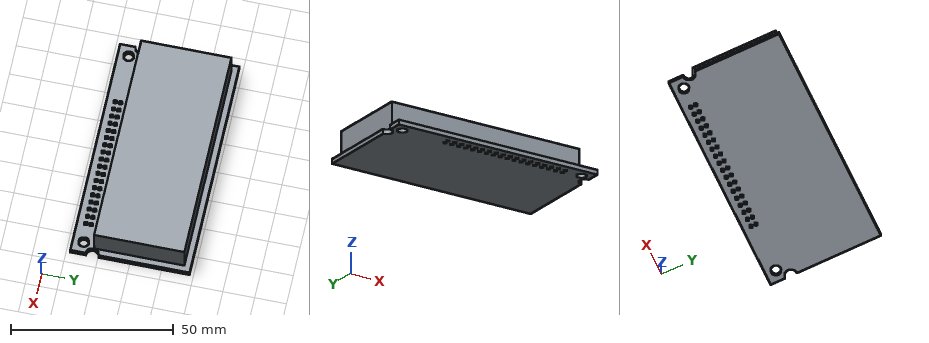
import cadquery as cq

board_length = 73.0
board_width = 37.5
board_thickness = 1.6

overall_height = 10.6
block_margin = 2.05
block_front = 7.1
block_length = board_length - 2 * block_margin
block_width = board_width - block_margin - block_front
block_height = overall_height - board_thickness

mount_diameter = 3.2
mount_inset_x = 3.6
mount_inset_y = 3.5

notch_diameter = 4.0
notch_inset_y = 6.9

pin_hole_diameter = 1.0
pin_columns = 18
pin_rows = 2
pin_span = 43.15
pin_row_pitch = 1.7
pin_first_x = 19.85 - board_length / 2
pin_first_y = 2.8
pin_pitch = pin_span / (pin_columns - 1)


def cut_holes(board, points, diameter):
    """Cut round through holes at the given XY points of the board."""
    drills = (
        cq.Workplane("XY")
        .pushPoints(points)
        .circle(diameter / 2)
        .extrude(board_thickness)
    )
    return board.cut(drills)


def make_board():
    board = cq.Workplane("XY").box(
        board_length, board_width, board_thickness, centered=(True, False, False)
    )
    mount_x = board_length / 2 - mount_inset_x
    mount_points = [(side * mount_x, mount_inset_y) for side in (-1, 1)]
    notch_points = [(side * board_length / 2, notch_inset_y) for side in (-1, 1)]
    pin_points = [
        (pin_first_x + column * pin_pitch, pin_first_y + row * pin_row_pitch)
        for column in range(pin_columns)
        for row in range(pin_rows)
    ]
    board = cut_holes(board, mount_points, mount_diameter)
    board = cut_holes(board, notch_points, notch_diameter)
    return cut_holes(board, pin_points, pin_hole_diameter).solids()


def make_display_block():
    return (
        cq.Workplane("XY")
        .box(block_length, block_width, block_height, centered=(True, False, False))
        .translate((0, block_front, board_thickness))
    )


board = make_board()
display_block = make_display_block()
result = cq.Compound.makeCompound([board.val(), display_block.val()])